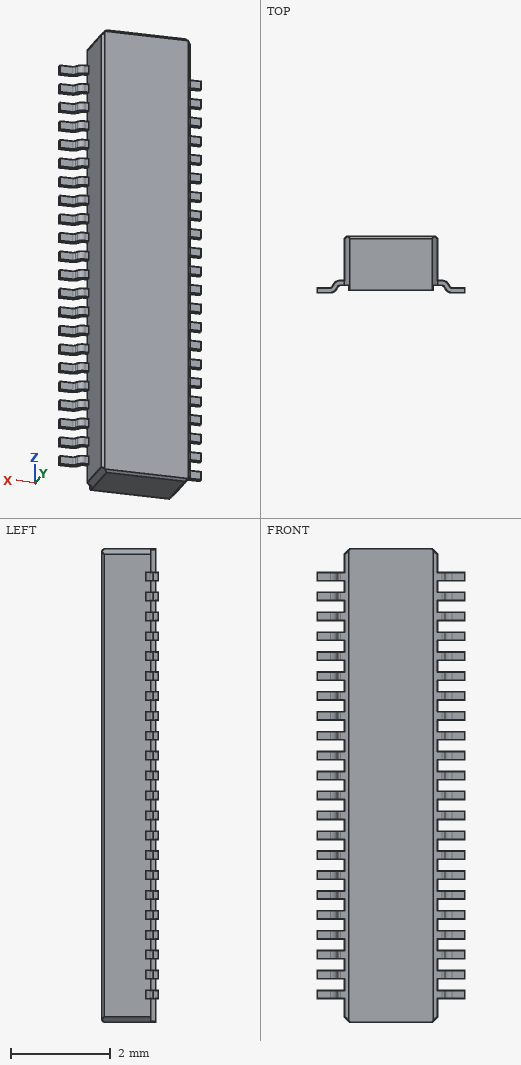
import cadquery as cq
import math

overall_width = 2.97
overall_depth = 1.14
body_height = 9.52

standoff = 0.05
body_width = 1.87
corner_chamfer = 0.11
back_chamfer = 0.05
nose_width = 1.70
nose_depth = 0.10

lead_count = 22
lead_pitch = 0.40
lead_width = 0.17
lead_thickness = 0.10
foot_length = 0.26
bend_radius = 0.10
bend_angle = math.radians(60)

mount_y = -overall_depth / 2
back_y = overall_depth / 2
front_y = mount_y + standoff
step_y = front_y + nose_depth

bend_drop = step_y - mount_y
slope_length = (bend_drop - 2 * bend_radius * (1 - math.cos(bend_angle))) / math.sin(bend_angle)
bend_run = 2 * bend_radius * math.sin(bend_angle) + slope_length * math.cos(bend_angle)
inner_radius = bend_radius - lead_thickness / 2
outer_radius = bend_radius + lead_thickness / 2


def make_housing():
    """Bevelled block with a narrower step at the front."""
    body_depth = back_y - front_y
    block = (
        cq.Workplane("XY")
        .box(body_width, body_depth, body_height)
        .translate((0, (back_y + front_y) / 2, 0))
        .faces(">Y")
        .edges()
        .chamfer(back_chamfer)
    )
    corner_outline = (
        cq.Workplane("XZ", origin=(0, back_y, 0))
        .rect(body_width, body_height)
        .extrude(body_depth)
        .edges("|Y")
        .chamfer(corner_chamfer)
    )
    block = block.intersect(corner_outline)
    side_depth = (body_width - nose_width) / 2
    for side in (-1, 1):
        relief = cq.Workplane("XY").box(side_depth, nose_depth, body_height).translate(
            (side * (nose_width + side_depth) / 2, front_y + nose_depth / 2, 0)
        )
        block = block.cut(relief)
    return block


def point_on_arc(center, radius, angle):
    """Point at an angle measured from +X towards +Y."""
    return (center[0] + radius * math.cos(angle), center[1] + radius * math.sin(angle))


def make_lead():
    """Right-hand gull-wing lead, centred on Z = 0 and rooted inside the housing."""
    root_x = nose_width / 2
    tip_x = overall_width / 2
    foot_x = tip_x - foot_length
    shoulder_x = foot_x - bend_run
    foot_top_y = mount_y + lead_thickness
    shoulder_top_y = step_y + lead_thickness

    shoulder_center = (shoulder_x, step_y - inner_radius)
    heel_center = (foot_x, foot_top_y + inner_radius)
    up = math.pi / 2
    down = -math.pi / 2
    shoulder_end = up - bend_angle
    shoulder_mid = up - bend_angle / 2
    heel_start = down - bend_angle
    heel_mid = down - bend_angle / 2

    profile = (
        cq.Workplane("XY")
        .moveTo(root_x, shoulder_top_y)
        .lineTo(shoulder_x, shoulder_top_y)
        .threePointArc(
            point_on_arc(shoulder_center, outer_radius, shoulder_mid),
            point_on_arc(shoulder_center, outer_radius, shoulder_end),
        )
        .lineTo(*point_on_arc(heel_center, inner_radius, heel_start))
        .threePointArc(
            point_on_arc(heel_center, inner_radius, heel_mid),
            (foot_x, foot_top_y),
        )
        .lineTo(tip_x, foot_top_y)
        .lineTo(tip_x, mount_y)
        .lineTo(foot_x, mount_y)
        .threePointArc(
            point_on_arc(heel_center, outer_radius, heel_mid),
            point_on_arc(heel_center, outer_radius, heel_start),
        )
        .lineTo(*point_on_arc(shoulder_center, inner_radius, shoulder_end))
        .threePointArc(
            point_on_arc(shoulder_center, inner_radius, shoulder_mid),
            (shoulder_x, step_y),
        )
        .lineTo(root_x, step_y)
        .close()
    )
    return profile.extrude(lead_width / 2, both=True)


def make_part():
    """Housing with one row of leads on each side."""
    right_lead = make_lead()
    left_lead = right_lead.mirror("YZ")
    lowest_z = -(lead_count - 1) * lead_pitch / 2
    leads = []
    for index in range(lead_count):
        offset = (0, 0, lowest_z + index * lead_pitch)
        leads.append(right_lead.translate(offset).val())
        leads.append(left_lead.translate(offset).val())
    return cq.Workplane(make_housing().val().fuse(*leads)).clean()


result = make_part()